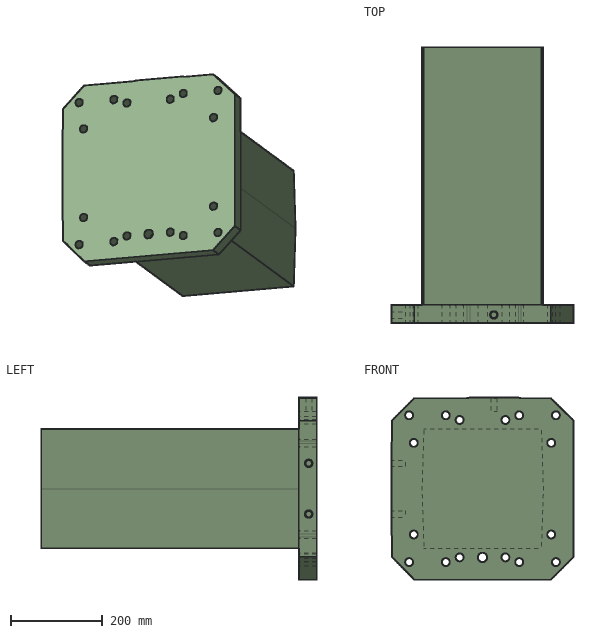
import cadquery as cq

plate_half = 198.95
plate_thickness = 40.0
corner_start = 148.5
pad_height = 1.0
ramp_run = 6.0

left_pad_half = 99.0
top_pad_half = 53.0
top_pad_x = 24.5

total_length = 602.0
housing_half_height = 130.35
housing_half_width = 128.0
housing_crease_half_width = 132.5

bolt_diameter = 17.0
bolt_outer = 160.0
bolt_inner = bolt_outer / 2
pin_outer = 150.0
pin_top_bottom_x = pin_outer / 3
pin_side_z = pin_outer * 2 / 3
centre_hole_diameter = 20.0

edge_hole_diameter = 14.0
edge_hole_mouth = 17.0
edge_hole_depth = 30.0
edge_hole_y = 18.0
left_hole_z = 55.5


def make_plate():
    low = plate_half - pad_height
    left_ramp_end = left_pad_half + ramp_run
    outline = [
        (corner_start, -plate_half),
        (plate_half, -corner_start),
        (plate_half, corner_start),
        (corner_start, low),
        (top_pad_x + top_pad_half + ramp_run, low),
        (top_pad_x + top_pad_half, plate_half),
        (top_pad_x - top_pad_half, plate_half),
        (top_pad_x - top_pad_half - ramp_run, low),
        (-corner_start, low),
        (-low, corner_start),
        (-low, left_ramp_end),
        (-plate_half, left_pad_half),
        (-plate_half, -left_pad_half),
        (-low, -left_ramp_end),
        (-low, -corner_start),
        (-corner_start, -plate_half),
    ]
    return cq.Workplane("XZ").polyline(outline).close().extrude(-plate_thickness)


def make_housing():
    right_side = [
        (housing_half_width, -housing_half_height),
        (housing_crease_half_width, 0),
        (housing_half_width, housing_half_height),
    ]
    left_side = [(-x, -z) for x, z in right_side]
    section = cq.Workplane("XZ", origin=(0, plate_thickness, 0)).polyline(right_side + left_side).close()
    return section.extrude(plate_thickness - total_length)


def make_plate_holes():
    centres = []
    for x, z in [
        (bolt_outer, bolt_outer),
        (bolt_inner, bolt_outer),
        (pin_top_bottom_x, pin_outer),
        (pin_outer, pin_side_z),
    ]:
        centres += [(x, z), (-x, z), (x, -z), (-x, -z)]
    bolts = cq.Workplane("XZ").pushPoints(centres).circle(bolt_diameter / 2).extrude(-plate_thickness)
    centre = cq.Workplane("XZ").center(0, -pin_outer).circle(centre_hole_diameter / 2)
    return bolts.union(centre.extrude(-plate_thickness))


def make_edge_hole(mouth, direction):
    """Blind hole with a 45 degree countersunk mouth."""
    start = cq.Vector(*mouth)
    inward = cq.Vector(*direction)
    radius = edge_hole_diameter / 2
    mouth_radius = edge_hole_mouth / 2
    bore = cq.Solid.makeCylinder(radius, edge_hole_depth, start, inward)
    sink = cq.Solid.makeCone(mouth_radius, radius, mouth_radius - radius, start, inward)
    return cq.Workplane(obj=bore.fuse(sink))


result = make_plate().union(make_housing()).cut(make_plate_holes())
result = result.cut(make_edge_hole((top_pad_x, edge_hole_y, plate_half), (0, 0, -1)))
for z in (-left_hole_z, left_hole_z):
    result = result.cut(make_edge_hole((-plate_half, edge_hole_y, z), (1, 0, 0)))